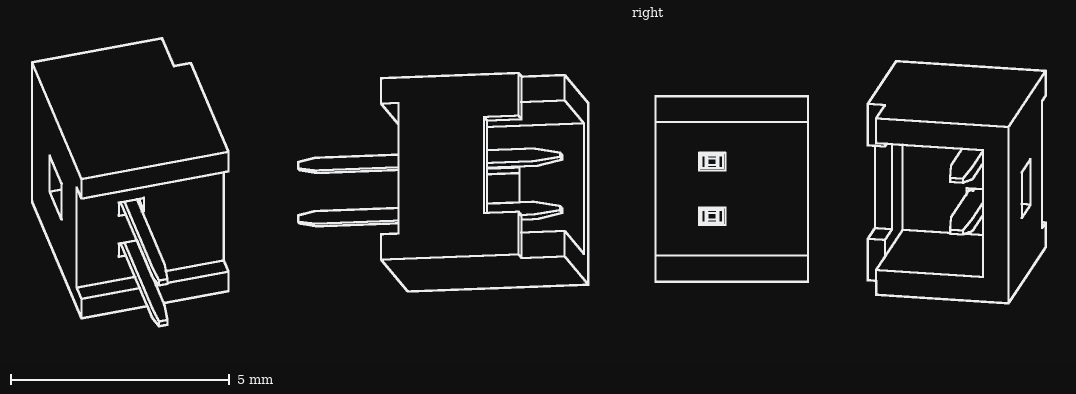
import cadquery as cq

total_length = 6.5
housing_length = 4.2
housing_depth = 3.5
housing_height = 4.25
mid_z = housing_height / 2

side_wall = 0.6
back_wall = 0.4
cavity_length = 3.0
relief_length = 0.4

notch_length = 1.0
slot_length = 1.8
slot_height = 2.25

window_start = 1.5
window_length = 1.0
window_height = 1.1

pin_pitch = 1.25
pin_y = 1.3
pin_thickness = 0.3
blade_width = 0.5
blade_tip_x = 0.4
blade_taper_length = 0.6
blade_tip_width = 0.3
blade_tip_thickness = 0.1
tail_taper_length = 0.4
tail_tip_width = 0.2
tail_tip_thickness = 0.15
pin_clearance = 0.05

pin_heights = [mid_z + side * pin_pitch / 2 for side in (-1, 1)]


def block(x_range, y_range, z_range):
    """Box spanning the given (low, high) range on each axis."""
    (x0, x1), (y0, y1), (z0, z1) = x_range, y_range, z_range
    return cq.Workplane("XY").box(x1 - x0, y1 - y0, z1 - z0, centered=False).translate((x0, y0, z0))


def centered_range(center, size):
    return center - size / 2, center + size / 2


def taper(x_start, x_end, start_section, end_section, center_z):
    """Pyramid frustum along X between two (width, thickness) sections."""
    return (
        cq.Workplane("YZ", origin=(x_start, pin_y, center_z))
        .rect(*start_section)
        .workplane(offset=x_end - x_start)
        .rect(*end_section)
        .loft(combine=True)
    )


def make_housing():
    full_depth = (0, housing_depth)
    full_height = (0, housing_height)
    inner_height = (side_wall, housing_height - side_wall)
    inner_back = housing_depth - back_wall
    back_range = (inner_back, housing_depth)

    body = block((0, housing_length), full_depth, full_height)
    cavity = block((0, cavity_length), (side_wall, inner_back), inner_height)
    relief = block((housing_length - relief_length, housing_length), full_depth, inner_height)
    notch = block((0, notch_length), back_range, full_height)
    slot = block((0, slot_length), back_range, centered_range(mid_z, slot_height))
    window = block(
        (window_start, window_start + window_length),
        (0, side_wall),
        centered_range(mid_z, window_height),
    )
    body = body.cut(cavity).cut(relief).cut(notch).cut(slot).cut(window)

    for center_z in pin_heights:
        pin_hole = block(
            (cavity_length, housing_length),
            centered_range(pin_y, blade_width + 2 * pin_clearance),
            centered_range(center_z, pin_thickness + 2 * pin_clearance),
        )
        body = body.cut(pin_hole)
    return body


def make_pin(center_z):
    blade_start = blade_tip_x + blade_taper_length
    tail_end = total_length - tail_taper_length
    thickness_range = centered_range(center_z, pin_thickness)

    blade_tip = taper(
        blade_tip_x, blade_start,
        (blade_tip_width, blade_tip_thickness), (blade_width, pin_thickness), center_z,
    )
    blade = block((blade_start, cavity_length), centered_range(pin_y, blade_width), thickness_range)
    tail = block((cavity_length, tail_end), centered_range(pin_y, pin_thickness), thickness_range)
    tail_tip = taper(
        tail_end, total_length,
        (pin_thickness, pin_thickness), (tail_tip_width, tail_tip_thickness), center_z,
    )
    return blade_tip.union(blade).union(tail).union(tail_tip)


housing = make_housing()
pins = [make_pin(center_z) for center_z in pin_heights]

result = cq.Compound.makeCompound([housing.val(), *[pin.val() for pin in pins]])